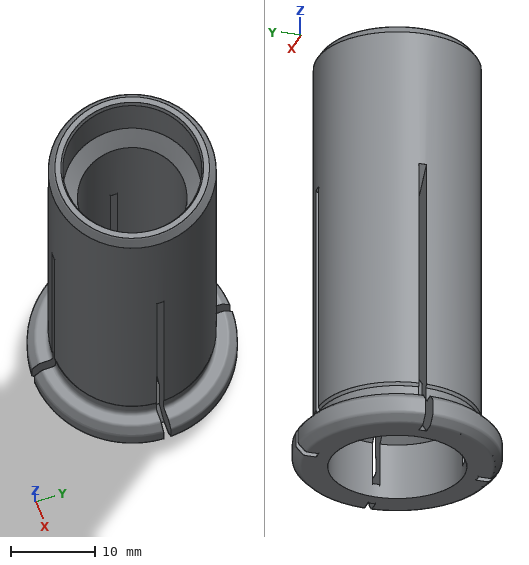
import cadquery as cq

length = 54.0
flange_radius = 25.0 / 2
sleeve_radius = 20.0 / 2

flange_height = 3.95
flange_chamfer = 0.95
flange_edge_fillet = 0.5
groove_radius = 9.85
groove_fillet = 0.5
groove_taper_start = 5.85
groove_top = 6.25

lead_in_height = 1.1
lead_in_width = 0.65
rim_fillet = 0.15

bore_radius = 13.0 / 2
end_bore_radius = 16.5 / 2
end_bore_depth = 7.15
bore_step = end_bore_radius - bore_radius
mouth_chamfer_width = 0.2
mouth_chamfer_height = 0.5

slot_width = 0.9
slot_top = 35.55

tolerance = 0.005


class FlangeEdges(cq.Selector):
    """Selects the four circular edges that bound the flange chamfers."""

    def filter(self, edges):
        smallest = flange_radius - flange_chamfer - tolerance
        return [e for e in edges if e.geomType() == "CIRCLE" and e.radius() > smallest]


def make_body():
    """Revolve the sleeve, its flange and its stepped bore about Z."""
    lead_in_radius = sleeve_radius - lead_in_width
    profile = (
        cq.Workplane("XZ")
        .moveTo(end_bore_radius, 0)
        .lineTo(flange_radius - flange_chamfer, 0)
        .lineTo(flange_radius, flange_chamfer)
        .lineTo(flange_radius, flange_height - flange_chamfer)
        .lineTo(flange_radius - flange_chamfer, flange_height)
        .lineTo(groove_radius + groove_fillet, flange_height)
        .radiusArc((groove_radius, flange_height + groove_fillet), groove_fillet)
        .lineTo(groove_radius, groove_taper_start)
        .lineTo(sleeve_radius, groove_top)
        .lineTo(sleeve_radius, length - lead_in_height)
        .lineTo(lead_in_radius, length - rim_fillet)
        .lineTo(lead_in_radius - rim_fillet, length)
        .lineTo(end_bore_radius + mouth_chamfer_width, length)
        .lineTo(end_bore_radius, length - mouth_chamfer_height)
        .lineTo(end_bore_radius, length - end_bore_depth)
        .lineTo(bore_radius, length - end_bore_depth - bore_step)
        .lineTo(bore_radius, end_bore_depth + bore_step)
        .lineTo(end_bore_radius, end_bore_depth)
        .close()
    )
    body = profile.revolve(360, (0, 0, 0), (0, 1, 0))
    return body.edges(FlangeEdges()).fillet(flange_edge_fillet)


def make_slot():
    """Cutter across the full diameter along X; its ends narrow inwards at 45 degrees."""
    outward = flange_radius - sleeve_radius
    return (
        cq.Workplane("XZ")
        .moveTo(-flange_radius, -outward)
        .lineTo(0, sleeve_radius)
        .lineTo(flange_radius, -outward)
        .lineTo(flange_radius, slot_top + outward)
        .lineTo(0, slot_top - sleeve_radius)
        .lineTo(-flange_radius, slot_top + outward)
        .close()
        .extrude(slot_width / 2, both=True)
    )


slot = make_slot()
crossed_slot = slot.rotate((0, 0, 0), (0, 0, 1), 90)
result = make_body().cut(slot).cut(crossed_slot)